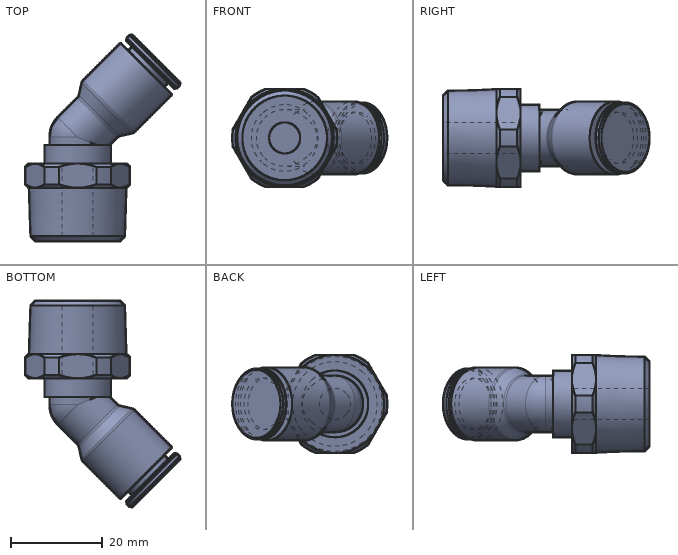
import cadquery as cq
import math


OUTLET_ANGLE = 45.0

COLLAR_TOP_Y = -1.65
COLLAR_LENGTH = 4.1
COLLAR_RADIUS = 7.3
HEX_LENGTH = 5.3
HEX_ACROSS_FLATS = 21.5
HEX_CORNER_RADIUS = 11.5
HEX_TURN = 30.0
THREAD_LENGTH = 11.7
GAUGE_LENGTH = 4.9
GAUGE_RADIUS = 20.955 / 2
THREAD_SLOPE = 1 / 32
THREAD_CHAMFER = 1.1
BORE_RADIUS = 3.4

COLLAR_BOTTOM_Y = COLLAR_TOP_Y - COLLAR_LENGTH
HEX_BOTTOM_Y = COLLAR_BOTTOM_Y - HEX_LENGTH
THREAD_END_Y = HEX_BOTTOM_Y - THREAD_LENGTH
GAUGE_Y = THREAD_END_Y + GAUGE_LENGTH
BORE_DEPTH = THREAD_LENGTH + HEX_LENGTH

ELBOW_RADIUS = 6.2
SOCKET_RADIUS = 8.0
CONE_START = 6.4
CONE_END = 9.28
CONE_BLEND = 1.0
SOCKET_END = 21.2
COLLET_RADIUS = 5.63
FLANGE_START = 22.45
FLANGE_END = 24.3
FLANGE_RADIUS = 7.8
FLANGE_CHAMFER_LENGTH = 0.45
FLANGE_CHAMFER_DEPTH = 0.34


def revolve_about_y(profile):
    """Revolve a closed profile of X radii and Y positions about the Y axis."""
    return profile.close().revolve(360, (0, 0, 0), (0, 1, 0))


def thread_radius(y):
    """Radius of the tapered thread at a given Y."""
    return GAUGE_RADIUS + (y - GAUGE_Y) * THREAD_SLOPE


def make_thread():
    chamfer_y = THREAD_END_Y + THREAD_CHAMFER
    chamfer_radius = thread_radius(chamfer_y)
    return revolve_about_y(
        cq.Workplane("XY")
        .moveTo(0, HEX_BOTTOM_Y)
        .lineTo(thread_radius(HEX_BOTTOM_Y), HEX_BOTTOM_Y)
        .lineTo(chamfer_radius, chamfer_y)
        .lineTo(chamfer_radius - THREAD_CHAMFER, THREAD_END_Y)
        .lineTo(0, THREAD_END_Y)
    )


def make_hexagon():
    """Hexagon with two flats facing +Z and -Z, trimmed by a chamfered cylinder."""
    prism = (
        cq.Workplane("XZ", origin=(0, COLLAR_BOTTOM_Y, 0))
        .polygon(6, HEX_ACROSS_FLATS, circumscribed=True)
        .extrude(HEX_LENGTH)
        .rotate((0, 0, 0), (0, 1, 0), HEX_TURN)
    )
    chamfer = HEX_CORNER_RADIUS - HEX_ACROSS_FLATS / 2
    envelope = (
        cq.Workplane("XZ", origin=(0, COLLAR_BOTTOM_Y, 0))
        .circle(HEX_CORNER_RADIUS)
        .extrude(HEX_LENGTH)
        .edges("%CIRCLE")
        .chamfer(chamfer)
    )
    return prism.intersect(envelope)


def make_collar():
    return (
        cq.Workplane("XZ", origin=(0, COLLAR_TOP_Y, 0))
        .circle(COLLAR_RADIUS)
        .extrude(COLLAR_LENGTH)
    )


def make_elbow():
    """Ball joint and the short straight tube that stands on the collar."""
    tube = cq.Workplane("XZ").circle(ELBOW_RADIUS).extrude(-COLLAR_TOP_Y)
    return cq.Workplane("XY").sphere(ELBOW_RADIUS).union(tube)


def make_outlet():
    """Tube, blended cone and socket, modelled along +Y and then leaned over."""
    cone_angle = math.atan2(SOCKET_RADIUS - ELBOW_RADIUS, CONE_END - CONE_START)
    setback = CONE_BLEND * math.tan(cone_angle / 2)
    tangent_x = setback * math.sin(cone_angle)
    tangent_y = setback * math.cos(cone_angle)
    body = revolve_about_y(
        cq.Workplane("XY")
        .lineTo(ELBOW_RADIUS, 0)
        .lineTo(ELBOW_RADIUS, CONE_START - setback)
        .tangentArcPoint((ELBOW_RADIUS + tangent_x, CONE_START + tangent_y), relative=False)
        .lineTo(SOCKET_RADIUS - tangent_x, CONE_END - tangent_y)
        .tangentArcPoint((SOCKET_RADIUS, CONE_END + setback), relative=False)
        .lineTo(SOCKET_RADIUS, SOCKET_END)
        .lineTo(0, SOCKET_END)
    )
    return lean(body.union(make_collet()))


def make_collet():
    """Release collet: a neck and a flange chamfered on both rims."""
    rim_radius = FLANGE_RADIUS - FLANGE_CHAMFER_DEPTH
    return revolve_about_y(
        cq.Workplane("XY")
        .moveTo(0, SOCKET_END)
        .lineTo(COLLET_RADIUS, SOCKET_END)
        .lineTo(COLLET_RADIUS, FLANGE_START)
        .lineTo(rim_radius, FLANGE_START)
        .lineTo(FLANGE_RADIUS, FLANGE_START + FLANGE_CHAMFER_LENGTH)
        .lineTo(FLANGE_RADIUS, FLANGE_END - FLANGE_CHAMFER_LENGTH)
        .lineTo(rim_radius, FLANGE_END)
        .lineTo(0, FLANGE_END)
    )


def lean(shape):
    """Turn a shape from the +Y axis towards +X by the outlet angle."""
    return shape.rotate((0, 0, 0), (0, 0, 1), -OUTLET_ANGLE)


def make_bore():
    return (
        cq.Workplane("XZ", origin=(0, THREAD_END_Y + BORE_DEPTH, 0))
        .circle(BORE_RADIUS)
        .extrude(BORE_DEPTH)
    )


stem = make_thread().union(make_hexagon()).union(make_collar())
result = stem.union(make_elbow()).union(make_outlet()).cut(make_bore())